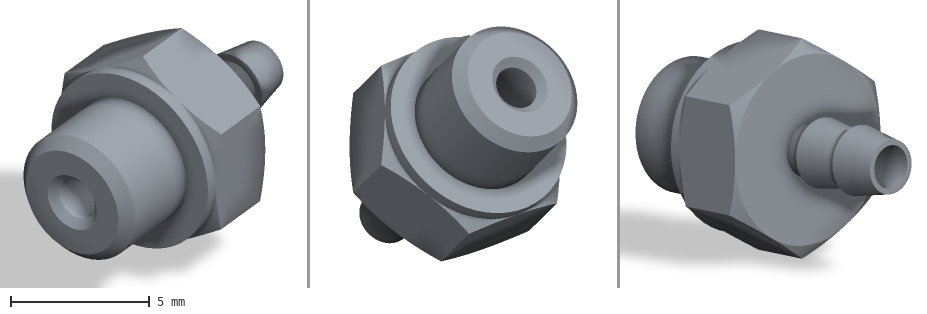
import cadquery as cq
import math

total_length = 11.5
tip_chamfer_length = 0.44
stud_length = 3.5
collar_length = 0.5
hex_length = 3.0
neck_length = 0.83
lower_barb_length = 1.97

hex_flats = 7.0
stud_diameter = 5.0
stud_tip_diameter = 4.14
recess_diameter = 5.1
recess_depth = 0.12
neck_diameter = 2.0
barb_diameter = 2.6
barb_small_diameter = 2.0
bore_diameter = 1.6
bore_mouth_diameter = 2.2
bore_chamfer_length = (bore_mouth_diameter - bore_diameter) / 2
hex_chamfer_angle = 30.0

hex_start = stud_length + collar_length
hex_end = hex_start + hex_length
lower_barb_start = hex_end + neck_length
upper_barb_start = lower_barb_start + lower_barb_length


def turned(profile):
    """Revolve (radius, station) points about the Y axis."""
    sketch = cq.Workplane("XY").polyline(profile).close()
    return sketch.revolve(360, (0, 0, 0), (0, 1, 0))


def make_hex():
    """Hexagon with corners on Z and both ends turned to a cone."""
    corner_radius = hex_flats / math.sqrt(3)
    chamfer_drop = (corner_radius - hex_flats / 2) * math.tan(math.radians(hex_chamfer_angle))
    prism = (
        cq.Workplane("XZ", origin=(0, hex_start, 0))
        .transformed(rotate=(0, 0, 90))
        .polygon(6, 2 * corner_radius)
        .extrude(-hex_length)
    )
    envelope = turned([
        (0, hex_start),
        (hex_flats / 2, hex_start),
        (corner_radius, hex_start + chamfer_drop),
        (corner_radius, hex_end - chamfer_drop),
        (hex_flats / 2, hex_end),
        (0, hex_end),
    ])
    return prism.intersect(envelope)


def make_turned_body():
    """Stud, collar with a narrow recess around the stud, neck and two hose barbs in one profile."""
    return turned([
        (0, 0),
        (stud_tip_diameter / 2, 0),
        (stud_diameter / 2, tip_chamfer_length),
        (stud_diameter / 2, stud_length + recess_depth),
        (recess_diameter / 2, stud_length + recess_depth),
        (recess_diameter / 2, stud_length),
        (hex_flats / 2, stud_length),
        (hex_flats / 2, hex_start),
        (neck_diameter / 2, hex_start),
        (neck_diameter / 2, lower_barb_start),
        (barb_diameter / 2, lower_barb_start),
        (barb_small_diameter / 2, upper_barb_start),
        (barb_diameter / 2, upper_barb_start),
        (barb_small_diameter / 2, total_length),
        (0, total_length),
    ])


def make_bore():
    """Through bore with a countersunk mouth at the threaded end."""
    return turned([
        (0, 0),
        (bore_mouth_diameter / 2, 0),
        (bore_diameter / 2, bore_chamfer_length),
        (bore_diameter / 2, total_length),
        (0, total_length),
    ])


result = make_turned_body().union(make_hex()).cut(make_bore())